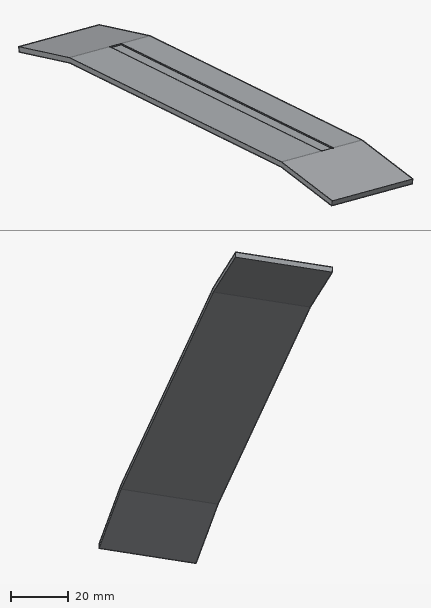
import cadquery as cq
import math

overall_length = 183.09
overall_height = 7.2
width = 35.0
thickness = 2.0

flap_angle = math.radians(10.0)

groove_width = 5.0
groove_near_edge = 0.0
groove_depth = 0.5

tip_x = overall_length / 2
flap_drop = overall_height - thickness * math.cos(flap_angle)
bend_x = tip_x - flap_drop / math.tan(flap_angle)
lower_tip_x = tip_x - thickness * math.sin(flap_angle)
lower_bend_x = bend_x - thickness * math.tan(flap_angle / 2)


def make_strip():
    """Bent strip of even thickness with square-cut tips, top face at Z = 0."""
    half_outline = [
        (bend_x, 0),
        (tip_x, -flap_drop),
        (lower_tip_x, -overall_height),
        (lower_bend_x, -thickness),
    ]
    mirrored_half = [(-x, z) for x, z in reversed(half_outline)]
    return (
        cq.Workplane("XZ")
        .polyline(half_outline + mirrored_half)
        .close()
        .extrude(width / 2, both=True)
    )


def make_groove():
    """Cutter for the groove, flush with the top face."""
    return (
        cq.Workplane("XY")
        .center(0, groove_near_edge + groove_width / 2)
        .rect(2 * bend_x, groove_width)
        .extrude(-groove_depth)
    )


result = make_strip().cut(make_groove())